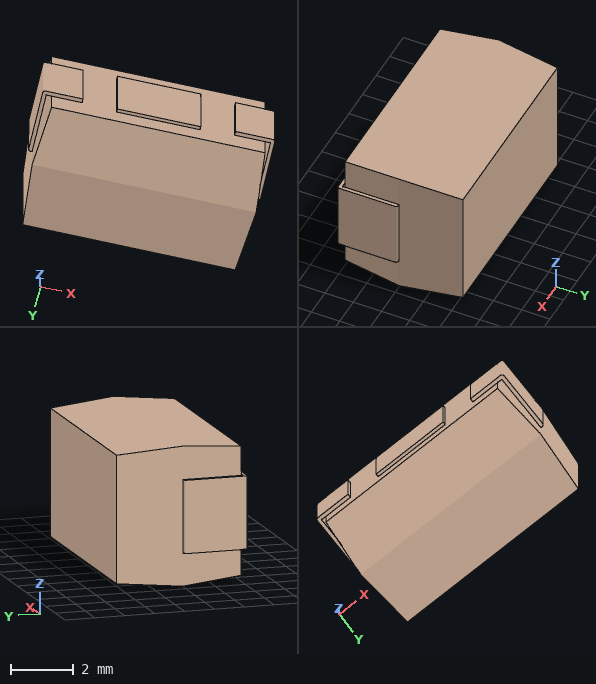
import cadquery as cq
import math

length = 7.6
depth = 4.3
height = 4.6

strip_thickness = 0.13
strip_width = 2.4
foot_length = 1.31
bend_radius = 0.08

case_length = length - 2 * strip_thickness
case_depth = depth - strip_thickness
front_depth = 2.01
back_depth = case_depth - front_depth
draft_angle = 5.0

pad_side = 2.73
pad_thickness = 0.11


def drafted_half(half_depth, direction):
    """Half of the case, narrowing from Y = 0 towards +Y (direction 1) or -Y (direction -1)."""
    shrink = 2 * half_depth * math.tan(math.radians(draft_angle))
    return (
        cq.Workplane("XZ")
        .rect(case_length, height)
        .workplane(offset=-direction * half_depth)
        .rect(case_length - shrink, height - shrink)
        .loft(ruled=True)
    )


def make_case():
    """Solid case with its parting edge around the widest section."""
    return drafted_half(front_depth, -1).union(drafted_half(back_depth, 1))


def make_pad():
    """Square plate lying flat on the front face of the case."""
    plate = cq.Workplane("XY").box(pad_side, pad_thickness, pad_side)
    return plate.translate((0, -front_depth - pad_thickness / 2, 0))


def make_terminal(side):
    """Strip down one X end of the case, folded under its front face (side: -1 left, 1 right)."""
    outer_x = side * length / 2
    inner_x = side * case_length / 2
    toe_x = outer_x - side * foot_length
    foot_y = -front_depth - strip_thickness
    outline = [
        (outer_x, 0),
        (outer_x, foot_y),
        (toe_x, foot_y),
        (toe_x, -front_depth),
        (inner_x, -front_depth),
        (inner_x, 0),
    ]
    strip = cq.Workplane("XY").polyline(outline).close().extrude(strip_width / 2, both=True)
    outer_edges = strip.faces("<X" if side < 0 else ">X").edges("|Z")
    return outer_edges.fillet(bend_radius)


case = make_case()
pad = make_pad()
terminals = [make_terminal(side) for side in (-1, 1)]

result = cq.Compound.makeCompound(
    [case.val(), pad.val(), *[terminal.val() for terminal in terminals]]
)